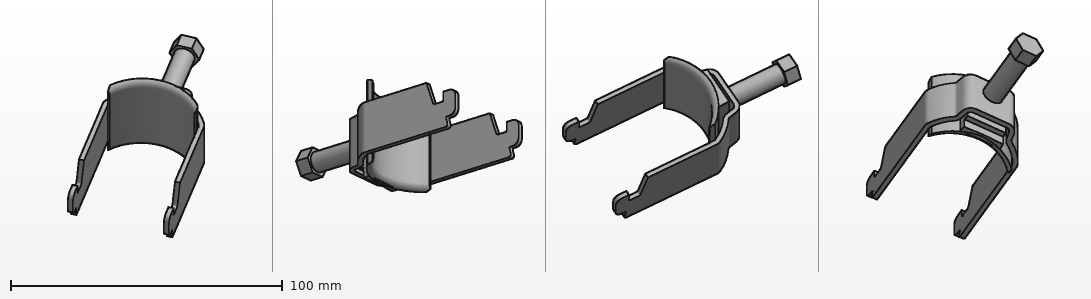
import cadquery as cq
import math


strap_width = 39.0
strap_height = 20.0
sheet = 2.0
crown_half_width = 10.1
leg_lean = 13.7
shoulder_radius = 21.8
shoulder_center_y = -25.1
crown_bend = 4.1
waist_bend = 1.4
arm_bend = 4.1

hook_end_y = -59.1
ramp_top_y = -45.4
ramp_bottom_y = -48.7
slot_floor_z = 0.5
slot_end_y = -53.4
slot_floor_fillet = 1.0
slot_end_fillet = 0.5
hook_top_z = 4.4
hook_bottom_z = -6.0
hook_radius = 2.8
heel_top_y = -54.6
heel_bottom_y = -55.7
heel_notch_fillet = 0.5
heel_tip_fillet = 1.0

bolt_z = 2.5
head_end_y = 27.4
head_height = 5.5
head_across_flats = 10.0
shank_diameter = 8.0
shank_end_y = -4.0
tip_diameter = 5.5

saddle_width = 34.0
saddle_height = 34.0
saddle_z = 3.0
saddle_outer_radius = 22.2
saddle_back_y = -7.6
saddle_thickness = 2.7
saddle_inner_radius = 21.4
saddle_lip_y = -17.8
rim_rounding_radius = 2.7
rim_rounding_height = 2.9
rim_rounding_depth = 2.25
scoop_half_width = 6.5
scoop_depth = 0.35

block_back_y = -4.4
block_back_half_width = 8.05
block_front_half_width = 8.5
block_front_y = -9.5
pad_top_z = 14.9
tab_top_y = -6.4
tab_bottom_y = -6.7

strap_top_z = strap_height / 2
strap_bottom_z = -strap_top_z
arm_x = strap_width / 2
saddle_bottom_z = saddle_z - saddle_height / 2
saddle_outer_center_y = saddle_back_y - saddle_outer_radius
saddle_inner_center_y = saddle_back_y - saddle_thickness - saddle_inner_radius
pad_bottom_z = 2 * bolt_z - pad_top_z


def waist_corner():
    """Sharp corner where the straight leg meets the shoulder arc."""
    lean = math.radians(leg_lean)
    half_b = crown_half_width * math.sin(lean) + shoulder_center_y * math.cos(lean)
    c = crown_half_width**2 + shoulder_center_y**2 - shoulder_radius**2
    length = -half_b - math.sqrt(half_b**2 - c)
    return crown_half_width + length * math.sin(lean), -length * math.cos(lean)


def shoulder_point(angle):
    """Point on the right shoulder arc, angle in radians from +X."""
    x = shoulder_radius * math.cos(angle)
    return x, shoulder_center_y + shoulder_radius * math.sin(angle)


def mirrored(point):
    return -point[0], point[1]


def strap_bow():
    """Bent sheet of constant thickness, open between its two arms."""
    waist = waist_corner()
    waist_angle = math.atan2(waist[1] - shoulder_center_y, waist[0])
    arm_angle = math.acos(arm_x / shoulder_radius)
    middle = shoulder_point((waist_angle + arm_angle) / 2)
    arm_top = shoulder_point(arm_angle)
    crown = (crown_half_width, 0)
    base_y = hook_end_y - 2 * sheet

    blank = (
        cq.Workplane("XY", origin=(0, 0, strap_bottom_z))
        .moveTo(*mirrored(crown))
        .lineTo(*crown)
        .lineTo(*waist)
        .threePointArc(middle, arm_top)
        .lineTo(arm_x, base_y)
        .lineTo(-arm_x, base_y)
        .lineTo(*mirrored(arm_top))
        .threePointArc(mirrored(middle), mirrored(waist))
        .close()
        .extrude(strap_height)
    )
    for corner, radius in ((crown, crown_bend), (waist, waist_bend), (arm_top, arm_bend)):
        for x, y in (corner, mirrored(corner)):
            blank = blank.edges(cq.NearestToPointSelector((x, y, 0))).fillet(radius)

    cavity = blank.faces("<Z").wires().toPending().offset2D(-sheet).extrude(strap_height, combine=False)
    return blank.cut(cavity)


def hook_profile():
    """Side outline of the strap in Y and Z, extruded across its full width."""
    profile = (
        cq.Workplane("YZ", origin=(-arm_x, 0, 0))
        .moveTo(0, strap_bottom_z)
        .lineTo(0, strap_top_z)
        .lineTo(ramp_top_y, strap_top_z)
        .lineTo(ramp_bottom_y, slot_floor_z)
        .lineTo(slot_end_y, slot_floor_z)
        .lineTo(slot_end_y, hook_top_z)
        .lineTo(hook_end_y, hook_top_z)
        .lineTo(hook_end_y, hook_bottom_z)
        .lineTo(heel_top_y, hook_bottom_z)
        .lineTo(heel_bottom_y, strap_bottom_z)
        .close()
        .extrude(strap_width)
    )
    rounded_corners = (
        (ramp_bottom_y, slot_floor_z, slot_floor_fillet),
        (slot_end_y, slot_floor_z, slot_end_fillet),
        (hook_end_y, hook_top_z, hook_radius),
        (hook_end_y, hook_bottom_z, hook_radius),
        (heel_top_y, hook_bottom_z, heel_notch_fillet),
        (heel_bottom_y, strap_bottom_z, heel_tip_fillet),
    )
    for y, z, radius in rounded_corners:
        profile = profile.edges(cq.NearestToPointSelector((0, y, z))).fillet(radius)
    return profile


def cylinder_along_y(diameter, start_y, end_y):
    """Cylinder on the bolt axis between two Y positions, start_y above end_y."""
    plane = cq.Workplane("XZ", origin=(0, start_y, bolt_z))
    return plane.circle(diameter / 2).extrude(start_y - end_y)


def make_strap():
    bolt_hole = cylinder_along_y(shank_diameter, 0, -sheet)
    return strap_bow().intersect(hook_profile()).cut(bolt_hole)


def make_bolt():
    across_corners = head_across_flats / math.cos(math.pi / 6)
    head = (
        cq.Workplane("XZ", origin=(0, head_end_y, bolt_z))
        .polygon(6, across_corners)
        .extrude(head_height)
    )
    shank = cylinder_along_y(shank_diameter, head_end_y - head_height, shank_end_y)
    tip = cylinder_along_y(tip_diameter, shank_end_y, block_back_y)
    return head.union(shank).union(tip)


def bottom_scoop():
    """Shallow arc cutter through the bottom edge of saddle and block."""
    return (
        cq.Workplane("XZ", origin=(0, block_back_y, saddle_bottom_z))
        .moveTo(-scoop_half_width, 0)
        .threePointArc((0, scoop_depth), (scoop_half_width, 0))
        .close()
        .extrude(block_back_y - saddle_lip_y)
    )


def saddle_outer_cylinder():
    return (
        cq.Workplane("XY", origin=(0, saddle_outer_center_y, saddle_bottom_z))
        .circle(saddle_outer_radius)
        .extrude(saddle_height)
    )


def saddle_ring():
    """Ring about the pipe axis whose two inner rims are rounded."""
    half_height = saddle_height / 2
    ring_outer = saddle_inner_radius + 2 * saddle_thickness
    rounding_end = saddle_inner_radius + rim_rounding_depth
    straight_half = half_height - rim_rounding_height
    return (
        cq.Workplane("XZ", origin=(0, saddle_inner_center_y, saddle_z))
        .moveTo(ring_outer, -half_height)
        .lineTo(ring_outer, half_height)
        .lineTo(rounding_end, half_height)
        .radiusArc((saddle_inner_radius, straight_half), -rim_rounding_radius)
        .lineTo(saddle_inner_radius, -straight_half)
        .radiusArc((rounding_end, -half_height), -rim_rounding_radius)
        .close()
        .revolve(360, (0, 0, 0), (0, 1, 0))
    )


def make_saddle():
    trim = (
        cq.Workplane("XY", origin=(0, 0, saddle_bottom_z))
        .moveTo(0, saddle_lip_y / 2)
        .rect(saddle_width, -saddle_lip_y)
        .extrude(saddle_height)
    )
    plate = trim.intersect(saddle_outer_cylinder()).intersect(saddle_ring())
    return plate.cut(bottom_scoop())


def make_block():
    plan = (
        cq.Workplane("XY", origin=(0, 0, saddle_bottom_z))
        .moveTo(-block_back_half_width, block_back_y)
        .lineTo(block_back_half_width, block_back_y)
        .lineTo(block_front_half_width, block_front_y)
        .lineTo(-block_front_half_width, block_front_y)
        .close()
        .extrude(saddle_height)
    )
    side = (
        cq.Workplane("YZ", origin=(-block_front_half_width, 0, 0))
        .moveTo(block_front_y, pad_top_z)
        .lineTo(block_back_y, pad_top_z)
        .lineTo(block_back_y, pad_bottom_z)
        .lineTo(tab_top_y, pad_bottom_z)
        .lineTo(tab_bottom_y, saddle_bottom_z)
        .lineTo(block_front_y, saddle_bottom_z)
        .close()
        .extrude(2 * block_front_half_width)
    )
    return plan.intersect(side).cut(saddle_outer_cylinder()).cut(bottom_scoop())


strap = make_strap()
bolt = make_bolt()
saddle = make_saddle()
block = make_block()

result = cq.Compound.makeCompound([body.solids().val() for body in (strap, bolt, saddle, block)])